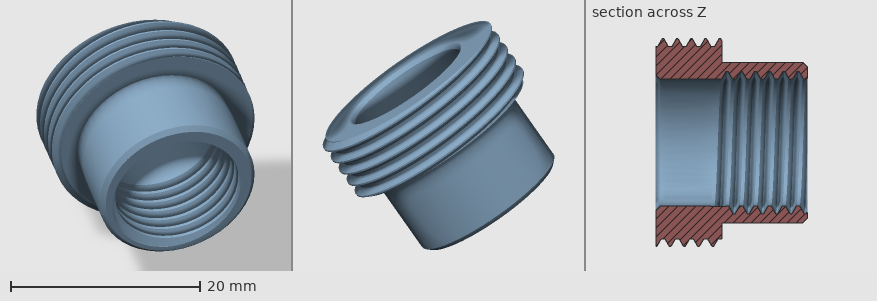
import cadquery as cq
import math

total_length = 16.0
flange_length = 7.0
boss_radius = 17.0 / 2
boss_chamfer = 0.5
entry_chamfer = 0.45

external_major_radius = 22.0 / 2
internal_major_radius = 15.0 / 2
pitch = 1.5
flank_angle = math.radians(30)
thread_depth = pitch * 5 / 8 * math.cos(flank_angle)
external_root_radius = external_major_radius - thread_depth
bore_radius = internal_major_radius - thread_depth
external_root_width = pitch / 4
internal_root_width = pitch / 8

cut_clearance = 0.05
end_overrun = 1.1
internal_thread_start = 6.75


def threadless_body():
    """Flange, boss, bore and chamfers as one profile revolved about X."""
    return (
        cq.Workplane("XY")
        .moveTo(0, bore_radius + entry_chamfer)
        .lineTo(0, external_major_radius)
        .lineTo(flange_length, external_major_radius)
        .lineTo(flange_length, boss_radius)
        .lineTo(total_length - boss_chamfer, boss_radius)
        .lineTo(total_length, boss_radius - boss_chamfer)
        .lineTo(total_length, bore_radius)
        .lineTo(entry_chamfer, bore_radius)
        .close()
        .revolve(360, (0, 0, 0), (1, 0, 0))
    )


def thread_groove(root_radius, mouth_radius, root_width, start_x, end_x):
    """Right-hand helical groove about X, centred on the +Y side at each whole pitch from x = 0."""
    half_root = root_width / 2
    half_mouth = half_root + abs(mouth_radius - root_radius) * math.tan(flank_angle)
    section = [
        (root_radius, -half_root),
        (mouth_radius, -half_mouth),
        (mouth_radius, half_mouth),
        (root_radius, half_root),
    ]
    corner_helices = [
        cq.Wire.makeHelix(pitch, end_x - start_x, radius, cq.Vector(0, 0, offset))
        for radius, offset in section
    ]
    next_helices = corner_helices[1:] + corner_helices[:1]
    sides = [cq.Face.makeRuledSurface(*pair) for pair in zip(corner_helices, next_helices)]
    end_caps = [
        cq.Face.makeFromWires(cq.Wire.makePolygon(corners, close=True))
        for corners in (
            [helix.startPoint() for helix in corner_helices],
            [helix.endPoint() for helix in corner_helices],
        )
    ]
    groove = cq.Solid.makeSolid(cq.Shell.makeShell(sides + end_caps)).fix()
    along_x = cq.Workplane(groove).rotate((0, 0, 0), (0, 1, 0), 90).rotate((0, 0, 0), (1, 0, 0), 90)
    start_angle = 360 * start_x / pitch
    return along_x.rotate((0, 0, 0), (1, 0, 0), start_angle).translate((start_x, 0, 0))


external_groove = thread_groove(
    external_root_radius,
    external_major_radius + cut_clearance,
    external_root_width,
    -end_overrun,
    flange_length + end_overrun,
)
internal_groove = thread_groove(
    internal_major_radius,
    bore_radius - cut_clearance,
    internal_root_width,
    internal_thread_start,
    total_length + end_overrun,
)

threaded_body = threadless_body().cut(external_groove).cut(internal_groove)
result = threaded_body.solids()